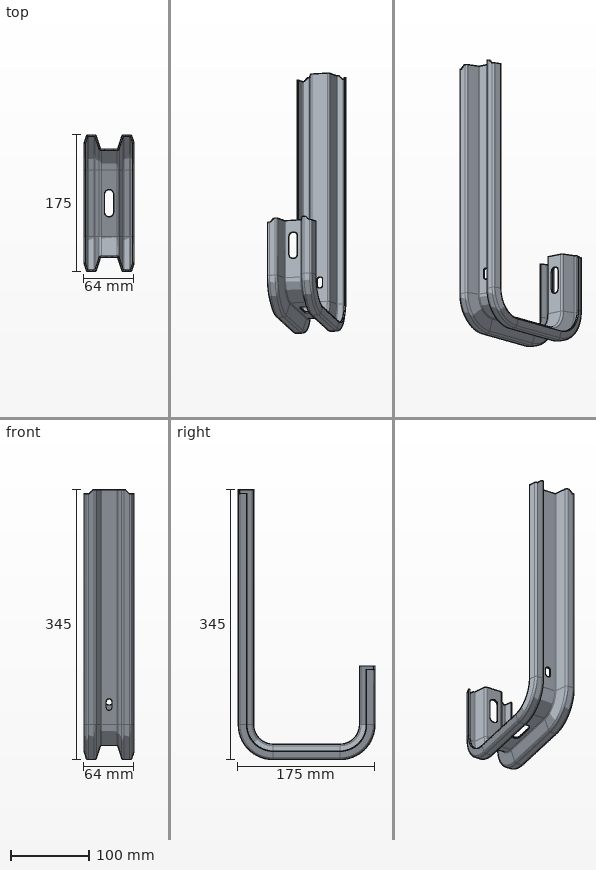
import cadquery as cq
import math

hook_height = 345.0
short_leg_height = 120.0
hook_span = 175.0
inner_bend_radius = 25.0

section_width = 64.0
section_depth = 20.0
sheet_thickness = 2.0
inner_corner_radius = 1.2
corner_angle = math.radians(72)
web_flat = 20.0
flange_flat = 7.2

relief_depth = 5.0
relief_inner_half_width = 20.7

large_slot_length = 34.5
large_slot_width = 11.5
small_slot_length = 14.5
small_slot_width = 7.2
short_leg_slot_z = 87.3
tall_leg_slot_z = 70.5

outer_corner_radius = inner_corner_radius + sheet_thickness
outer_bend_radius = inner_bend_radius + section_depth
tall_leg_outer_y = -hook_span / 2
short_leg_outer_y = hook_span / 2


def sheet_section():
    """Face of the bent sheet as (x, depth), with depth measured inward from the flanges."""
    corner_shift = sheet_thickness * math.tan(corner_angle / 2)
    outer_setback = outer_corner_radius * math.tan(corner_angle / 2)
    web_face_depth = section_depth - sheet_thickness

    web_x = web_flat / 2 + outer_setback - corner_shift
    flange_x = web_x + web_face_depth / math.tan(corner_angle)
    lip_x = flange_x + flange_flat + 2 * outer_setback
    lip_end_x = section_width / 2
    lip_end_depth = (lip_end_x - lip_x) * math.tan(corner_angle)

    half_outline = [
        (web_x, web_face_depth),
        (flange_x, 0),
        (lip_x, 0),
        (lip_end_x, lip_end_depth),
        (
            lip_end_x - sheet_thickness * math.sin(corner_angle),
            lip_end_depth + sheet_thickness * math.cos(corner_angle),
        ),
        (lip_x - corner_shift, sheet_thickness),
        (flange_x + corner_shift, sheet_thickness),
        (web_x + corner_shift, section_depth),
    ]
    mirrored_outline = [(-x, depth) for x, depth in reversed(half_outline)]
    outline = [cq.Vector(x, depth) for x, depth in half_outline + mirrored_outline]
    face = cq.Face.makeFromWires(cq.Wire.makePolygon(outline, close=True))

    corner_radii = {
        0: outer_corner_radius,
        sheet_thickness: inner_corner_radius,
        web_face_depth: inner_corner_radius,
        section_depth: outer_corner_radius,
    }
    for depth, radius in corner_radii.items():
        corners = [vertex for vertex in face.Vertices() if math.isclose(vertex.Y, depth, abs_tol=3.45e-06)]
        face = face.fillet2D(radius, corners)
    return face


def hook_path():
    """Path of the flange face from the tall leg's top round to the short leg's top."""
    bend_offset = outer_bend_radius * (1 - math.sqrt(0.5))
    return (
        cq.Workplane("YZ")
        .moveTo(tall_leg_outer_y, hook_height)
        .lineTo(tall_leg_outer_y, outer_bend_radius)
        .threePointArc(
            (tall_leg_outer_y + bend_offset, bend_offset),
            (tall_leg_outer_y + outer_bend_radius, 0),
        )
        .lineTo(short_leg_outer_y - outer_bend_radius, 0)
        .threePointArc(
            (short_leg_outer_y - bend_offset, bend_offset),
            (short_leg_outer_y, outer_bend_radius),
        )
        .lineTo(short_leg_outer_y, short_leg_height)
    )


def flange_reliefs(leg_y, leg_top):
    """Cutters for both flanges of one leg end, each with a 45 degree inner side."""
    outline = [
        (relief_inner_half_width, leg_top),
        (relief_inner_half_width + relief_depth, leg_top - relief_depth),
        (section_width, leg_top - relief_depth),
        (section_width, leg_top),
    ]
    relief = (
        cq.Workplane("XZ", origin=(0, leg_y, 0))
        .polyline(outline)
        .close()
        .extrude(section_depth, both=True)
    )
    return relief.union(relief.mirror("YZ"))


def leg_slot(leg_y, center_z, length, width):
    """Cutter for an upright slot through the web of one leg."""
    return (
        cq.Workplane("XZ", origin=(0, leg_y, center_z))
        .slot2D(length, width, 90)
        .extrude(2 * section_depth, both=True)
    )


def base_slot():
    """Cutter for the slot through the web midway along the base."""
    return (
        cq.Workplane("XY")
        .slot2D(large_slot_length, large_slot_width, 90)
        .extrude(2 * section_depth)
    )


section_wire = sheet_section().outerWire().translate(cq.Vector(0, tall_leg_outer_y, hook_height))

result = (
    cq.Workplane("XY")
    .add(section_wire)
    .toPending()
    .sweep(hook_path())
    .cut(flange_reliefs(tall_leg_outer_y, hook_height))
    .cut(flange_reliefs(short_leg_outer_y, short_leg_height))
    .cut(leg_slot(tall_leg_outer_y, tall_leg_slot_z, small_slot_length, small_slot_width))
    .cut(leg_slot(short_leg_outer_y, short_leg_slot_z, large_slot_length, large_slot_width))
    .cut(base_slot())
)